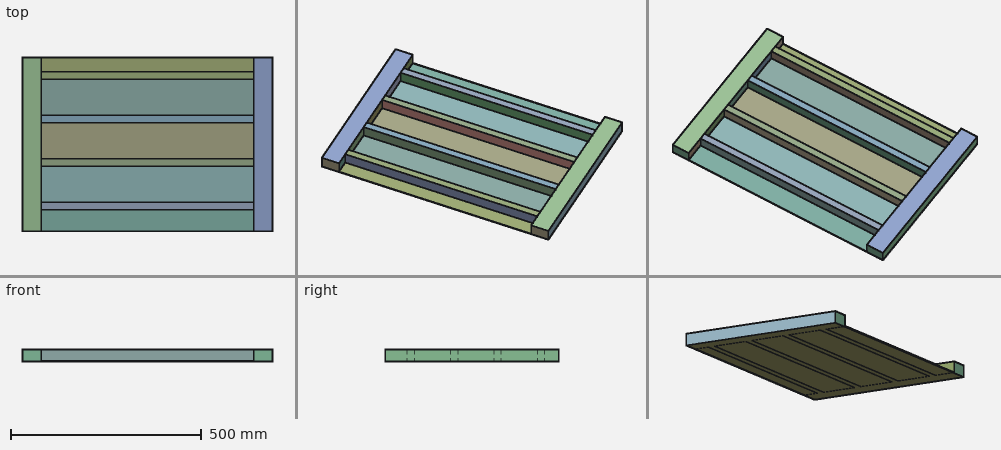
import cadquery as cq

total_length = 656.0
total_width = 456.0
total_height = 32.1
rail_width = 50.0
rail_height = 32.0
panel_thickness = 2.0
slat_count = 4
slat_width = 19.0

bay_length = total_length - 2 * rail_width
slat_height = total_height - panel_thickness
slat_pitch = total_width / slat_count
back_margin = 2 * slat_width


def standing_block(length, width, height):
    """Box centred on X and Y, standing on Z = 0."""
    return cq.Workplane("XY").box(length, width, height, centered=(True, True, False))


def panel():
    """Thin floor spanning the bay between the two end rails."""
    return standing_block(bay_length, total_width, panel_thickness)


def end_rail(side):
    """Rail closing one X end of the panel; side is -1 or +1."""
    x = side * (total_length - rail_width) / 2
    return standing_block(rail_width, total_width, rail_height).translate((x, 0, 0))


def slat(index):
    """Bar on the panel running from rail to rail, counted from the +Y edge."""
    y = total_width / 2 - back_margin - slat_width / 2 - index * slat_pitch
    return standing_block(bay_length, slat_width, slat_height).translate((0, y, panel_thickness))


result = panel()
for side in (-1, 1):
    result = result.union(end_rail(side))
for index in range(slat_count):
    result = result.union(slat(index))